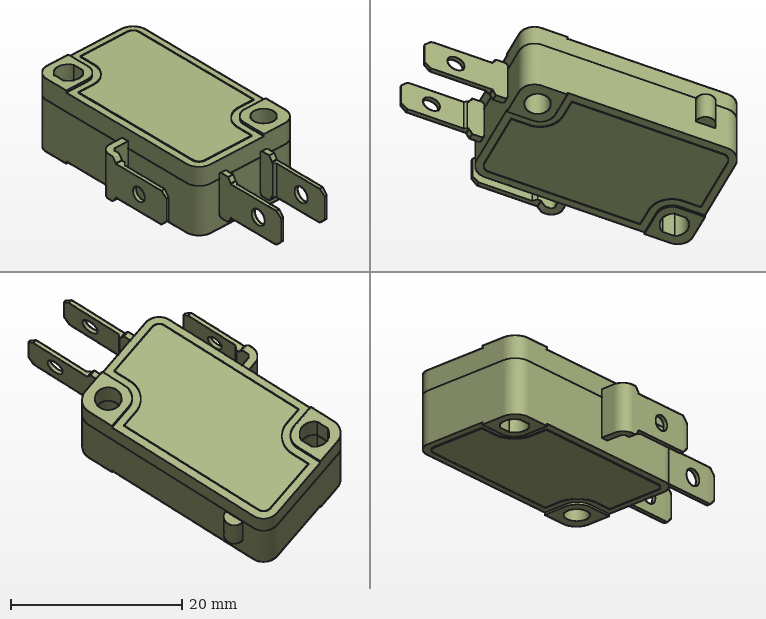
import cadquery as cq
import math

HOUSING_LENGTH = 27.8
HOUSING_WIDTH = 15.85
HOUSING_HEIGHT = 10.3
CORNER_RADIUS = 2.0
COVER_HEIGHT = 3.0
RIGHT = HOUSING_LENGTH / 2
LEFT = -RIGHT
BACK = HOUSING_WIDTH / 2
FRONT = -BACK
TOP = HOUSING_HEIGHT / 2
PARTING_Z = TOP - COVER_HEIGHT

BOSS_SIZE = 5.35
BOSS_RADIUS = CORNER_RADIUS
BOSS_RISE = 0.3
BORDER_Z = TOP - BOSS_RISE

PANEL_INSET = 1.0
PANEL_RISE = 0.1

HOLE_DIAMETER = 3.1
HOLE_INSET = 2.75
WIDE_HOLE_DIAMETER = 3.45

BUTTON_RADIUS = 1.23
BUTTON_HEIGHT = 4.07
BUTTON_X = LEFT + 4.75

SHOULDER_WIDTH = 6.35
BLADE_WIDTH = 4.75
NECK_STEP = 0.08
BLADE_THICKNESS = 0.55
TIP_THICKNESS = 0.35
TIP_CHAMFER = 0.75

STRAIGHT_THICKNESS = 0.8
STRAIGHT_STEP_START = 2.15
STRAIGHT_STEP_END = 2.5
STRAIGHT_SHOULDER_END = 1.55
STRAIGHT_NECK = 1.95
STRAIGHT_BEVEL_LENGTH = 1.23
STRAIGHT_ROOT_RADIUS = 0.45
STRAIGHT_HOLE_X = 6.65
STRAIGHT_HOLE_DIAMETER = 2.2
NC_LENGTH = 10.6
NO_LENGTH = 10.5
NC_Y = FRONT + 10.75
NO_Y = FRONT + 3.35

COM_X = LEFT + 14.85
COM_DROP = 3.5
COM_THICKNESS = 1.0
COM_BEND_RADIUS = 1.5
COM_STEP_START = 3.05
COM_STEP_END = 3.55
COM_SHOULDER_END = 2.07
COM_NECK = 2.6
COM_SHOULDER_RADIUS = 0.3
COM_BEVEL_LENGTH = 0.85
COM_LENGTH = 11.15
COM_HOLE_X = 6.53
COM_HOLE_DIAMETER = 2.0


def plate(length, width, radius, bottom, top):
    """Rounded rectangular plate between two heights."""
    return (
        cq.Workplane("XY", origin=(0, 0, bottom))
        .rect(length, width)
        .extrude(top - bottom)
        .edges("|Z")
        .fillet(radius)
    )


def corner_blocks(size, radius, bottom, top):
    """Blocks over the front-left and back-right corners, rounded on the inner edge."""
    height = top - bottom
    front_left = (
        cq.Workplane("XY", origin=(LEFT, FRONT, bottom))
        .rect(size, size, centered=False)
        .extrude(height)
        .edges("|Z and >X and >Y")
        .fillet(radius)
    )
    back_right = front_left.rotate((0, 0, 0), (0, 0, 1), 180)
    return front_left.union(back_right)


def mounting_holes():
    round_hole = (
        cq.Workplane("XY", origin=(RIGHT - HOLE_INSET, BACK - HOLE_INSET, -TOP))
        .circle(HOLE_DIAMETER / 2)
        .extrude(HOUSING_HEIGHT)
    )
    hole_plane = cq.Workplane("XY", origin=(LEFT + HOLE_INSET, FRONT + HOLE_INSET, -TOP))
    wide_hole = (
        hole_plane.circle(WIDE_HOLE_DIAMETER / 2)
        .extrude(HOUSING_HEIGHT)
        .intersect(hole_plane.rect(WIDE_HOLE_DIAMETER, HOLE_DIAMETER).extrude(HOUSING_HEIGHT))
    )
    return round_hole.union(wide_hole)


def upper_shell(bottom):
    """Housing from a given height up to its top face, with bosses, panel and holes."""
    body = plate(HOUSING_LENGTH, HOUSING_WIDTH, CORNER_RADIUS, bottom, BORDER_Z)

    full_block = plate(HOUSING_LENGTH, HOUSING_WIDTH, CORNER_RADIUS, bottom, TOP)
    bosses = corner_blocks(BOSS_SIZE, BOSS_RADIUS, bottom, TOP).intersect(full_block)

    panel_top = BORDER_Z + PANEL_RISE
    panel = plate(
        HOUSING_LENGTH - 2 * PANEL_INSET,
        HOUSING_WIDTH - 2 * PANEL_INSET,
        CORNER_RADIUS - PANEL_INSET,
        bottom,
        panel_top,
    ).cut(corner_blocks(BOSS_SIZE + PANEL_INSET, BOSS_RADIUS + PANEL_INSET, bottom, panel_top))

    return body.union(bosses).union(panel).cut(mounting_holes())


def button():
    return (
        cq.Workplane("XY", origin=(BUTTON_X, BACK, -BUTTON_HEIGHT / 2))
        .moveTo(-BUTTON_RADIUS, 0)
        .threePointArc((0, BUTTON_RADIUS), (BUTTON_RADIUS, 0))
        .close()
        .extrude(BUTTON_HEIGHT)
    )


def terminal_face(shoulder_end, neck, length, hole_x, hole_diameter):
    """Terminal outline across its width, as a thick block along Y with its hole."""
    shoulder = SHOULDER_WIDTH / 2
    half_blade = BLADE_WIDTH / 2
    upper_edge = [
        (0, shoulder),
        (shoulder_end, shoulder),
        (neck, half_blade + NECK_STEP),
        (neck, half_blade),
        (length - TIP_CHAMFER, half_blade),
        (length, half_blade - TIP_CHAMFER),
    ]
    lower_edge = [(x, -z) for x, z in reversed(upper_edge)]
    return (
        cq.Workplane("XZ")
        .polyline(upper_edge + lower_edge)
        .close()
        .extrude(COM_DROP, both=True)
        .cut(
            cq.Workplane("XZ")
            .center(hole_x, 0)
            .circle(hole_diameter / 2)
            .extrude(COM_DROP, both=True)
        )
    )


def blade_end(step_start, step_end, length, bevel_length, thickness):
    """Edge points of a terminal, from its flat face round the tip to the step in thickness."""
    bevel = (BLADE_THICKNESS - TIP_THICKNESS) / 2
    bevel_start = length - bevel_length
    return [
        (bevel_start, 0),
        (length, bevel),
        (length, BLADE_THICKNESS - bevel),
        (bevel_start, BLADE_THICKNESS),
        (step_end, BLADE_THICKNESS),
        (step_start, thickness),
    ]


def straight_terminal(length):
    """Straight terminal with its root at X = 0 and its flat face at Y = 0, stepping out to +Y."""
    tip = blade_end(
        STRAIGHT_STEP_START, STRAIGHT_STEP_END, length, STRAIGHT_BEVEL_LENGTH, STRAIGHT_THICKNESS
    )
    strip = (
        cq.Workplane("XY", origin=(0, 0, -SHOULDER_WIDTH / 2))
        .polyline([(0, 0)] + tip + [(0, STRAIGHT_THICKNESS)])
        .close()
        .extrude(SHOULDER_WIDTH)
    )
    face = terminal_face(
        STRAIGHT_SHOULDER_END, STRAIGHT_NECK, length, STRAIGHT_HOLE_X, STRAIGHT_HOLE_DIAMETER
    ).edges("|Y and <X").fillet(STRAIGHT_ROOT_RADIUS)
    return strip.intersect(face)


def common_terminal():
    """L-shaped terminal: a leg down from the front wall, bent towards +X."""
    inner_radius = COM_BEND_RADIUS - COM_THICKNESS
    arc_middle = COM_BEND_RADIUS * (1 - math.sqrt(0.5))
    inner_middle = COM_BEND_RADIUS - inner_radius * math.sqrt(0.5)
    tip = blade_end(COM_STEP_START, COM_STEP_END, COM_LENGTH, COM_BEVEL_LENGTH, COM_THICKNESS)
    strip = (
        cq.Workplane("XY", origin=(0, 0, -SHOULDER_WIDTH / 2))
        .moveTo(0, COM_DROP)
        .lineTo(0, COM_BEND_RADIUS)
        .threePointArc((arc_middle, arc_middle), (COM_BEND_RADIUS, 0))
    )
    for point in tip:
        strip = strip.lineTo(*point)
    strip = (
        strip.lineTo(COM_BEND_RADIUS, COM_THICKNESS)
        .threePointArc((inner_middle, inner_middle), (COM_THICKNESS, COM_BEND_RADIUS))
        .lineTo(COM_THICKNESS, COM_DROP)
        .close()
        .extrude(SHOULDER_WIDTH)
    )
    half_window = COM_SHOULDER_RADIUS / 2
    shoulder_corners = cq.selectors.BoxSelector(
        (COM_SHOULDER_END - half_window, -COM_DROP, -SHOULDER_WIDTH),
        (COM_SHOULDER_END + half_window, COM_DROP, SHOULDER_WIDTH),
    )
    face = terminal_face(
        COM_SHOULDER_END, COM_NECK, COM_LENGTH, COM_HOLE_X, COM_HOLE_DIAMETER
    ).edges(shoulder_corners).fillet(COM_SHOULDER_RADIUS)
    return strip.intersect(face).translate((COM_X, FRONT - COM_DROP, 0))


def make_cover():
    return upper_shell(PARTING_Z)


def make_base():
    """Lower housing with the button and the three terminals."""
    lower_half = upper_shell(0).mirror("XY")
    rim = plate(HOUSING_LENGTH, HOUSING_WIDTH, CORNER_RADIUS, 0, PARTING_Z).cut(mounting_holes())
    nc_terminal = straight_terminal(NC_LENGTH).mirror("XZ").translate((RIGHT, NC_Y, 0))
    no_terminal = straight_terminal(NO_LENGTH).translate((RIGHT, NO_Y, 0))
    return (
        lower_half.union(rim)
        .union(button())
        .union(nc_terminal)
        .union(no_terminal)
        .union(common_terminal())
    )


cover = make_cover().solids()
base = make_base().solids()

result = cq.Compound.makeCompound([cover.val(), base.val()])